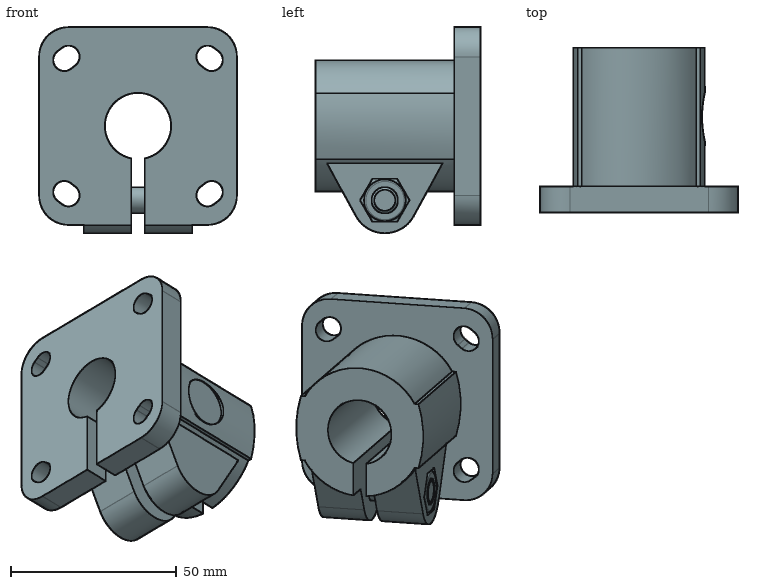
import cadquery as cq
import math

plate_width = 60.0
plate_thickness = 8.0
plate_corner_radius = 9.0

mount_x = 21.7
mount_z = 20.5
mount_diameter = 6.6
mount_travel = 1.6
mount_tilt = 38.0

total_depth = 50.0
tube_radius = 20.0
bore_diameter = 20.0
clamp_gap = 4.0
tube_length = total_depth - plate_thickness
tube_middle_y = plate_thickness + tube_length / 2

band_half_height = 10.0
band_edge_x = 18.5

recess_diameter = 15.0
recess_depth = 1.0

lug_face_x = 16.5
lug_radius = 10.0
lug_top_half_width = 17.5
bolt_z = -22.5
lug_top_drop = math.sqrt(tube_radius**2 - lug_face_x**2)

bolt_diameter = 8.0
bolt_end_chamfer = 0.8
hex_across_flats = 13.0
hex_across_corners = hex_across_flats / math.cos(math.radians(30))
pocket_depth = 8.0
collar_diameter = 12.6
collar_fillet = 0.5
collar_height = 1.5
nut_cone_diameter = 12.9
nut_cone_slope = 15.0


def along_y(start_y):
    """XZ sketch plane at start_y; a negative extrusion length runs toward +Y."""
    return cq.Workplane("XZ", origin=(0, start_y, 0))


def bolt_plane(x):
    """Sketch plane facing +X, centred on the bolt axis; local x is +Y, local y is +Z."""
    return cq.Workplane("YZ", origin=(x, tube_middle_y, bolt_z))


def make_plate():
    plate = along_y(0).rect(plate_width, plate_width).extrude(-plate_thickness)
    plate = plate.edges("|Y").fillet(plate_corner_radius)
    slot_length = mount_diameter + mount_travel
    for side_x in (-1, 1):
        for side_z in (-1, 1):
            tilt = -side_x * side_z * mount_tilt
            slot = (
                along_y(0)
                .center(side_x * mount_x, side_z * mount_z)
                .slot2D(slot_length, mount_diameter, tilt)
                .extrude(-plate_thickness)
            )
            plate = plate.cut(slot)
    return plate


def make_tube():
    tube = along_y(plate_thickness).circle(tube_radius).extrude(-tube_length)
    bands = (
        along_y(plate_thickness)
        .moveTo(-band_edge_x, -band_half_height)
        .threePointArc((-tube_radius, 0), (-band_edge_x, band_half_height))
        .lineTo(band_edge_x, band_half_height)
        .threePointArc((tube_radius, 0), (band_edge_x, -band_half_height))
        .close()
        .extrude(-tube_length)
    )
    recess = (
        cq.Workplane("YZ", origin=(tube_radius - recess_depth, tube_middle_y, 0))
        .circle(recess_diameter / 2)
        .extrude(recess_depth)
    )
    return tube.union(bands).cut(recess)


def make_lug():
    top = -lug_top_drop - bolt_z
    reach = math.hypot(lug_top_half_width, top)
    tangent_angle = math.atan2(top, lug_top_half_width) - math.acos(lug_radius / reach)
    tangent_x = lug_radius * math.cos(tangent_angle)
    tangent_z = lug_radius * math.sin(tangent_angle)
    return (
        bolt_plane(-lug_face_x)
        .moveTo(-lug_top_half_width, top)
        .lineTo(-tangent_x, tangent_z)
        .threePointArc((0, -lug_radius), (tangent_x, tangent_z))
        .lineTo(lug_top_half_width, top)
        .close()
        .extrude(2 * lug_face_x)
    )


def make_nut_pocket():
    return bolt_plane(-lug_face_x).polygon(6, hex_across_corners).extrude(pocket_depth)


def make_nut():
    nut_hex = make_nut_pocket()
    cone_drop = (hex_across_corners - nut_cone_diameter) / 2 * math.tan(math.radians(nut_cone_slope))
    turned = (
        cq.Workplane("XY")
        .moveTo(collar_height, 0)
        .lineTo(collar_height, nut_cone_diameter / 2)
        .lineTo(collar_height + cone_drop, hex_across_corners / 2)
        .lineTo(pocket_depth, hex_across_corners / 2)
        .lineTo(pocket_depth, 0)
        .close()
        .revolve(360, (0, 0, 0), (1, 0, 0))
        .translate((-lug_face_x, tube_middle_y, bolt_z))
    )
    collar = (
        bolt_plane(-lug_face_x)
        .circle(collar_diameter / 2)
        .extrude(collar_height)
        .faces("<X")
        .edges()
        .fillet(collar_fillet)
    )
    thread = bolt_plane(-lug_face_x).circle(bolt_diameter / 2).extrude(pocket_depth)
    return nut_hex.intersect(turned).union(collar).cut(thread)


def make_bolt():
    bolt = bolt_plane(-lug_face_x).circle(bolt_diameter / 2).extrude(2 * lug_face_x)
    return bolt.faces("<X").chamfer(bolt_end_chamfer)


def make_bore_and_gap():
    bore = along_y(0).circle(bore_diameter / 2).extrude(-total_depth)
    gap_bottom = bolt_z - lug_radius
    gap = (
        along_y(0)
        .center(0, gap_bottom / 2)
        .rect(clamp_gap, -gap_bottom)
        .extrude(-total_depth)
    )
    return bore.union(gap)


housing = make_plate().union(make_tube()).union(make_lug())
housing = housing.cut(make_bore_and_gap()).cut(make_nut_pocket())
result = housing.union(make_nut()).union(make_bolt())